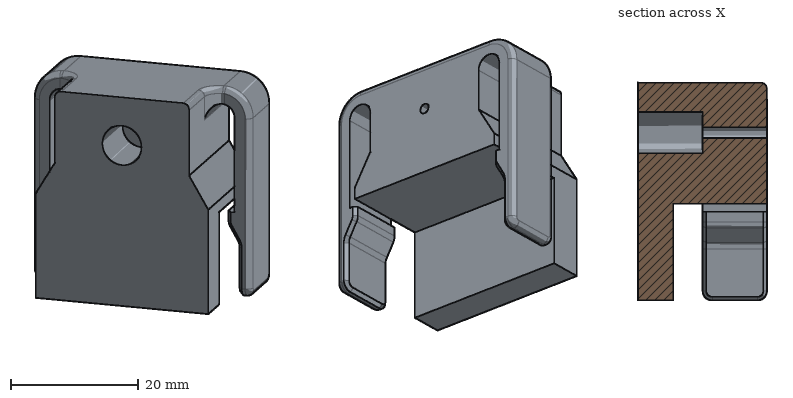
import cadquery as cq
import math

width = 36.07
depth = 20.3
height = 34.3
half_width = width / 2

neck_half_width = 11.1
base_half_width = 14.3
slope_bottom_z = 17.17
slope_top_z = 22.47
front_wall_depth = 5.6
notch_top_z = 15.2

hole_z = 26.4
bore_diameter = 6.45
bore_depth = depth / 2
screw_diameter = 1.65

arm_front_y = depth / 2
shoulder_radius = 4.85
slot_center_x = half_width - shoulder_radius
slot_half_width = slot_center_x - neck_half_width
slot_center_z = height - shoulder_radius
slot_outer_x = slot_center_x + slot_half_width
tip_thickness = 2.1
tip_inner_x = half_width - tip_thickness
tip_corner_radius = 1.5
inside_corner_radius = 2.5

barb_inner_x = 14.1
barb_top_z = 13.92
ramp_bottom_z = 8.7
ramp_angle = math.radians(30)
ramp_top_z = ramp_bottom_z + (tip_inner_x - barb_inner_x) / math.tan(ramp_angle)
ramp_blend_radius = 2.0

outer_edge_radius = 1.0
inner_edge_chamfer = 0.58


def extrude_back(sketch, length):
    """Extrude an XZ-plane sketch from its plane toward +Y."""
    return sketch.extrude(-length)


def make_body():
    """Central body up to the slot centre height, with the rear notch below it."""
    right_side = [
        (base_half_width, 0),
        (base_half_width, slope_bottom_z),
        (neck_half_width, slope_top_z),
        (neck_half_width, slot_center_z),
    ]
    left_side = [(-x, z) for x, z in reversed(right_side)]
    body = extrude_back(cq.Workplane("XZ").polyline(right_side + left_side).close(), depth)
    notch = cq.Workplane("XY").box(
        2 * base_half_width, depth - front_wall_depth, notch_top_z, centered=(True, False, False)
    )
    return body.cut(notch.translate((0, front_wall_depth, 0)))


def make_half_arch():
    """Right half of the top plate with its shoulder, arm and barb, square-edged."""
    half_arch = extrude_back(
        cq.Workplane("XZ")
        .moveTo(0, slot_center_z)
        .lineTo(neck_half_width, slot_center_z)
        .radiusArc((slot_outer_x, slot_center_z), slot_half_width)
        .lineTo(slot_outer_x, barb_top_z)
        .lineTo(barb_inner_x, barb_top_z)
        .lineTo(barb_inner_x, ramp_top_z)
        .lineTo(tip_inner_x, ramp_bottom_z)
        .lineTo(tip_inner_x, 0)
        .lineTo(half_width, 0)
        .lineTo(half_width, slot_center_z)
        .radiusArc((slot_center_x, height), -shoulder_radius)
        .lineTo(0, height)
        .close(),
        depth,
    )
    for x, z in ((barb_inner_x, ramp_top_z), (tip_inner_x, ramp_bottom_z)):
        ramp_end = cq.NearestToPointSelector((x, depth / 2, z))
        half_arch = half_arch.edges(ramp_end).fillet(ramp_blend_radius)

    setback = (
        cq.Workplane("XY")
        .moveTo(neck_half_width, 0)
        .lineTo(neck_half_width, arm_front_y - inside_corner_radius)
        .radiusArc((neck_half_width + inside_corner_radius, arm_front_y), inside_corner_radius)
        .lineTo(half_width, arm_front_y)
        .lineTo(half_width, 0)
        .close()
        .extrude(height)
    )
    half_arch = half_arch.cut(setback)
    return half_arch.faces("<Z").edges("|X").fillet(tip_corner_radius)


def make_arch():
    """Both arms and the top plate, with rounded outer and chamfered inner arm edges."""
    half_arch = make_half_arch()
    arch = half_arch.union(half_arch.mirror("YZ")).clean()

    outer_edge = cq.NearestToPointSelector((half_width, arm_front_y, slot_center_z / 2))
    arch = arch.edges(outer_edge).fillet(outer_edge_radius)
    for side in (-1, 1):
        inner_edge = cq.NearestToPointSelector((side * tip_inner_x, arm_front_y, ramp_bottom_z / 2))
        arch = arch.edges(inner_edge).chamfer(inner_edge_chamfer)
    return arch


def make_screw_hole():
    """Wide bore from the front face and a narrow hole through to the rear."""
    center = cq.Workplane("XZ").center(0, hole_z)
    bore = extrude_back(center.circle(bore_diameter / 2), bore_depth)
    screw = extrude_back(center.circle(screw_diameter / 2), depth)
    return bore.union(screw)


result = make_body().union(make_arch()).cut(make_screw_hole())